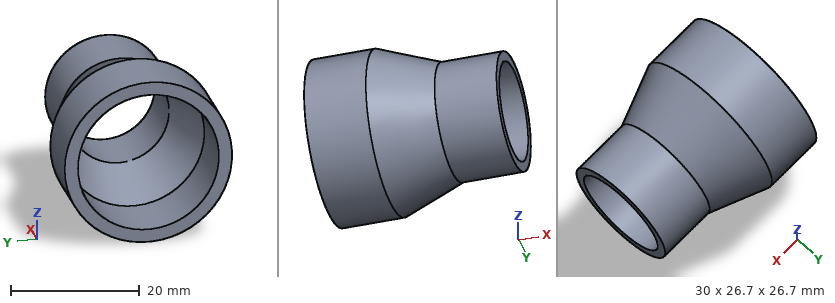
import cadquery as cq

section_length = 10.0
wide_outer_diameter = 26.67
wide_wall = 2.11
narrow_outer_diameter = 19.05
narrow_wall = 1.6

cone_start = section_length
cone_end = cone_start + section_length
total_length = cone_end + section_length

wide_outer_radius = wide_outer_diameter / 2
wide_inner_radius = wide_outer_radius - wide_wall
narrow_outer_radius = narrow_outer_diameter / 2
narrow_inner_radius = narrow_outer_radius - narrow_wall


def reducer():
    """Revolve the wall section, drawn as (X, radius), around the X axis."""
    wall_section = (
        cq.Workplane("XY")
        .moveTo(0, wide_inner_radius)
        .lineTo(0, wide_outer_radius)
        .lineTo(cone_start, wide_outer_radius)
        .lineTo(cone_end, narrow_outer_radius)
        .lineTo(total_length, narrow_outer_radius)
        .lineTo(total_length, narrow_inner_radius)
        .lineTo(cone_end, narrow_inner_radius)
        .lineTo(cone_start, wide_inner_radius)
        .close()
    )
    return wall_section.revolve(360, (0, 0, 0), (1, 0, 0))


result = reducer()